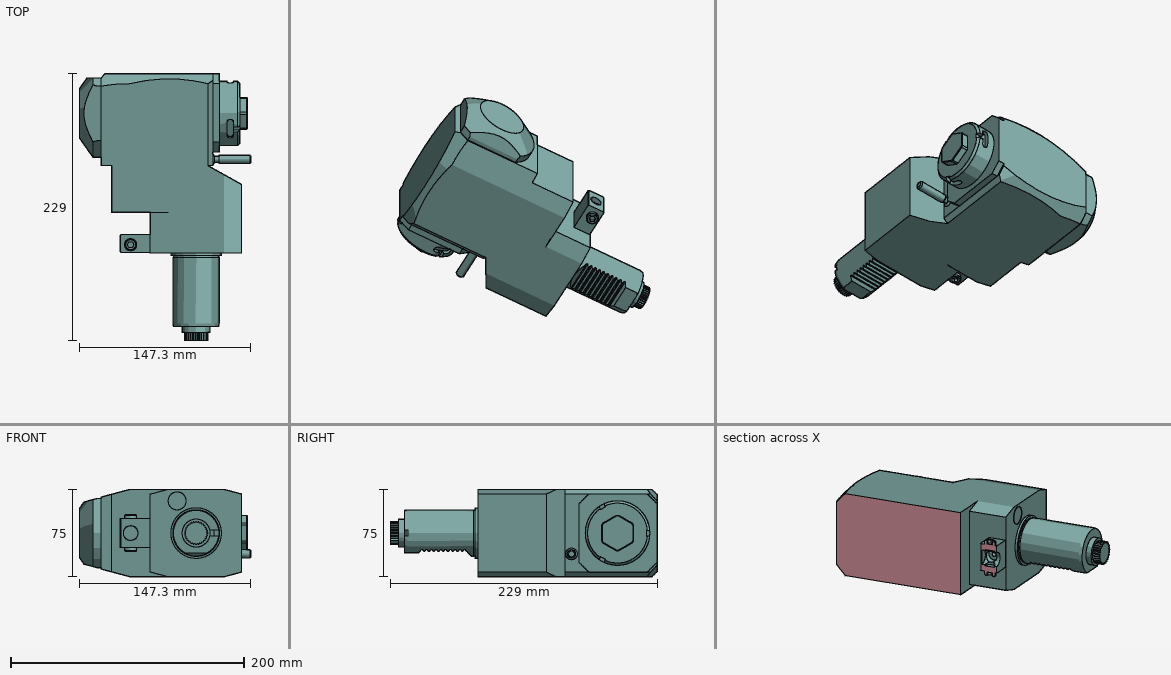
import cadquery as cq
import math


HALF_HEIGHT = 37.5
EDGE_SLOPE = math.tan(math.radians(15))
LEFT_CREST_X = -57.0
LEFT_FACE_X = -81.5
HEAD_RIGHT_CREST_X = 10.3
HEAD_RIGHT_X = 14.3
HEAD_RIGHT_SLOPE = 1.0
HEAD_START_Y = 75.0
HEAD_END_Y = 154.0
HEAD_CORNER_X = 3.2
HEAD_CORNER_Y = 3.8
WAIST_LEFT_X = -72.5
WAIST_START_Y = 35.0
FOOT_LEFT_X = -39.5
FOOT_LEFT_CREST_X = -24.0
FOOT_RIGHT_CREST_X = 24.3
FOOT_RIGHT_X = 39.0
FOOT_RIGHT_END_Y = 59.0

BEVEL = 4.5
BEVEL_OFFSET_Z = 95.0
BEVEL_AXIS_X = (LEFT_CREST_X + HEAD_RIGHT_CREST_X) / 2

SPINDLE_Y = 119.9

CAP_RADIUS = 37.8
CAP_TIP_RADIUS = 21.2
CAP_TIP_X = -100.1
CAP_SHOULDER_X = -88.5
CAP_CREST_X = -84.9
CAP_HALF_HEIGHT = 29.75
CAP_BACK = 30.5

PLATE_X = 20.0
PLATE_SIDE = 67.3
PLATE_CORNER = 8.7
PLATE_CENTRE_Y = HEAD_END_Y - PLATE_SIDE / 2
NUT_RADIUS = 27.7
NUT_END_X = 37.6
NUT_CHAMFER = 2.0
NUT_SLOT_COUNT = 3
NUT_FIRST_SLOT_ANGLE = 90.0
NUT_SLOT_X = 29.3
NUT_SLOT_LENGTH = 18.4
NUT_SLOT_WIDTH = 5.3
NUT_SLOT_DEPTH = 4.0
NUT_NOTCH_WIDTH = 4.8
NUT_NOTCH_DEPTH = 3.0
HEX_ACROSS_FLATS = 27.4
HEX_END_X = 44.0
HEX_CORNER_CHAMFER = 1.15
HEX_END_CHAMFER = 0.6

PIN_Y = 80.4
PIN_Z = -17.9
PIN_RADIUS = 3.65
PIN_START_X = 19.7
PIN_END_X = 47.23
PIN_CHAMFER = 1.1
PIN_BASE_RADIUS = 5.0
PIN_NECK_RADIUS = 2.7
PIN_BASE_LENGTH = 1.5

SHANK_RADIUS = 20.0
SHANK_LENGTH = 63.0
SHANK_CHAMFER_LENGTH = 2.6
SHANK_CHAMFER_DEPTH = 0.5
FLANGE_RADIUS = 21.7
FLANGE_LENGTH = 2.2
RELIEF_RADIUS = 19.6
RELIEF_END = 3.6
BOSS_RADIUS = 12.0
BOSS_END = 68.0
KEYWAY_WIDTH = 5.2
KEYWAY_STEP_X = 15.2
KEYWAY_DEPTH = 3.0
KEYWAY_INNER_DEPTH = 1.5

RACK_START = 5.3
RACK_END = 50.7
RACK_FLAT_Z = -17.0
TOOTH_COUNT = 10
TOOTH_PITCH = 4.08
TOOTH_FIRST_ROOT = 11.2
TOOTH_ROOT_Z = -14.3
TOOTH_CREST_Z = -16.0
TOOTH_ROOT_WIDTH = 1.0

SPLINE_RADIUS = 10.0
SPLINE_ROOT_RADIUS = 9.0
SPLINE_END = 75.0
SPLINE_COUNT = 28

PLUG_X = -16.3
PLUG_Z = 27.6
PLUG_RADIUS = 7.7
PLUG_RECESS = 0.4

BLOCK_LEFT_X = -65.2
BLOCK_START_Y = 0.5
BLOCK_END_Y = 16.0
BLOCK_HALF_HEIGHT = 12.4
BLOCK_CHAMFER = 0.8
BLOCK_BORE_X = -56.2
BLOCK_BORE_RADIUS = 6.3
BLOCK_BORE_DEPTH = 14.0
BLOCK_SIDE_Y = 8.5
BLOCK_SIDE_RADIUS = 5.0
BLOCK_SIDE_DEPTH = 20.0
BLOCK_DRILL_RADIUS = 1.8
BLOCK_CROSS_RADIUS = 4.5
BLOCK_CROSS_HALF_LENGTH = 7.2
SCREW_Y = 7.2
SCREW_RADIUS = 5.2
SCREW_HEIGHT = 3.6
SCREW_CHAMFER = 0.9
SCREW_SOCKET = 5.0
SCREW_SOCKET_DEPTH = 3.0


def slab(left, left_crest, right_crest, right, start_y, end_y, right_slope=EDGE_SLOPE):
    """Block along Y whose left and right margins slope away from flat top and bottom faces."""
    left_z = HALF_HEIGHT - EDGE_SLOPE * (left_crest - left)
    right_z = HALF_HEIGHT - right_slope * (right - right_crest)
    return (
        cq.Workplane("XZ", origin=(0, end_y, 0))
        .moveTo(left, left_z)
        .lineTo(left_crest, HALF_HEIGHT)
        .lineTo(right_crest, HALF_HEIGHT)
        .lineTo(right, right_z)
        .lineTo(right, -right_z)
        .lineTo(right_crest, -HALF_HEIGHT)
        .lineTo(left_crest, -HALF_HEIGHT)
        .lineTo(left, -left_z)
        .close()
        .extrude(end_y - start_y)
    )


def turned(profile, axis, origin=(0, 0, 0)):
    """Solid turned from (distance along axis, radius) points closed along the axis."""
    first, last = profile[0][0], profile[-1][0]
    points = [(first, 0), *profile, (last, 0)]
    if axis == "X":
        return cq.Workplane("XY", origin=origin).polyline(points).close().revolve(360, (0, 0), (1, 0))
    swapped = [(radius, along) for along, radius in points]
    return cq.Workplane("XY", origin=origin).polyline(swapped).close().revolve(360, (0, 0), (0, 1))


def bevel_envelope(side):
    """Cone about a far-off axis parallel to Y; its surface bevels one edge of the head's end."""
    end_radius = BEVEL_OFFSET_Z + HALF_HEIGHT - BEVEL
    start_radius = end_radius + HEAD_END_Y - HEAD_START_Y
    profile = [(HEAD_START_Y, start_radius), (HEAD_END_Y, end_radius)]
    return turned(profile, "Y", (BEVEL_AXIS_X, 0, -side * BEVEL_OFFSET_Z))


def make_head():
    head = slab(
        LEFT_FACE_X,
        LEFT_CREST_X,
        HEAD_RIGHT_CREST_X,
        HEAD_RIGHT_X,
        HEAD_START_Y,
        HEAD_END_Y,
        HEAD_RIGHT_SLOPE,
    )
    corner = (
        cq.Workplane("XY")
        .moveTo(LEFT_FACE_X, HEAD_END_Y)
        .lineTo(LEFT_FACE_X + HEAD_CORNER_X, HEAD_END_Y)
        .lineTo(LEFT_FACE_X, HEAD_END_Y - HEAD_CORNER_Y)
        .close()
        .extrude(HALF_HEIGHT, both=True)
    )
    head = head.cut(corner)
    for side in (1, -1):
        head = head.intersect(bevel_envelope(side))
    return head


def make_lower_housing():
    foot = slab(FOOT_LEFT_X, FOOT_LEFT_CREST_X, FOOT_RIGHT_CREST_X, FOOT_RIGHT_X, 0, HEAD_START_Y)
    waist = slab(WAIST_LEFT_X, LEFT_CREST_X, HEAD_RIGHT_CREST_X, HEAD_RIGHT_X, WAIST_START_Y, HEAD_START_Y)
    shoulder = (
        cq.Workplane("XY")
        .moveTo(HEAD_RIGHT_CREST_X, HEAD_START_Y)
        .lineTo(FOOT_RIGHT_X, FOOT_RIGHT_END_Y)
        .lineTo(FOOT_RIGHT_X, HEAD_START_Y)
        .close()
        .extrude(HALF_HEIGHT, both=True)
    )
    plug = turned([(0, PLUG_RADIUS), (PLUG_RECESS, PLUG_RADIUS)], "Y", (PLUG_X, 0, PLUG_Z))
    return foot.union(waist).cut(shoulder).cut(plug)


def make_cap():
    profile = [(CAP_TIP_X, CAP_TIP_RADIUS), (CAP_SHOULDER_X, CAP_RADIUS), (LEFT_FACE_X, CAP_RADIUS)]
    cone = turned(profile, "X", (0, SPINDLE_Y, 0))
    tip_z = CAP_HALF_HEIGHT - EDGE_SLOPE * (CAP_CREST_X - CAP_TIP_X)
    envelope = (
        cq.Workplane("XZ", origin=(0, SPINDLE_Y + CAP_BACK, 0))
        .moveTo(CAP_TIP_X, tip_z)
        .lineTo(CAP_CREST_X, CAP_HALF_HEIGHT)
        .lineTo(LEFT_FACE_X, CAP_HALF_HEIGHT)
        .lineTo(LEFT_FACE_X, -CAP_HALF_HEIGHT)
        .lineTo(CAP_CREST_X, -CAP_HALF_HEIGHT)
        .lineTo(CAP_TIP_X, -tip_z)
        .close()
        .extrude(CAP_BACK + CAP_RADIUS)
    )
    return cone.intersect(envelope)


def make_plate():
    return (
        cq.Workplane("YZ", origin=(HEAD_RIGHT_X, PLATE_CENTRE_Y, 0))
        .rect(PLATE_SIDE, PLATE_SIDE)
        .extrude(PLATE_X - HEAD_RIGHT_X)
        .edges("|X")
        .chamfer(PLATE_CORNER)
    )


def nut_slot():
    """Wrench slot and end notch, cut from the top of a nut turned about the X axis."""
    floor_z = NUT_RADIUS - NUT_SLOT_DEPTH
    slot = (
        cq.Workplane("XY", origin=(NUT_SLOT_X, 0, floor_z))
        .slot2D(NUT_SLOT_LENGTH, NUT_SLOT_WIDTH, 90)
        .extrude(NUT_SLOT_DEPTH)
    )
    notch = cq.Workplane("XY").box(
        NUT_END_X - NUT_SLOT_X, NUT_NOTCH_WIDTH, NUT_NOTCH_DEPTH, centered=(False, True, False)
    )
    return slot.union(notch.translate((NUT_SLOT_X, 0, NUT_RADIUS - NUT_NOTCH_DEPTH)))


def make_nut():
    profile = [
        (PLATE_X, NUT_RADIUS),
        (NUT_END_X - NUT_CHAMFER, NUT_RADIUS),
        (NUT_END_X, NUT_RADIUS - NUT_CHAMFER),
    ]
    nut = turned(profile, "X")
    for index in range(NUT_SLOT_COUNT):
        angle = NUT_FIRST_SLOT_ANGLE + index * 360 / NUT_SLOT_COUNT
        nut = nut.cut(nut_slot().rotate((0, 0, 0), (1, 0, 0), -angle))
    hexagon = (
        cq.Workplane("YZ", origin=(NUT_END_X, 0, 0))
        .polygon(6, HEX_ACROSS_FLATS / math.cos(math.pi / 6))
        .extrude(HEX_END_X - NUT_END_X)
        .edges("|X")
        .chamfer(HEX_CORNER_CHAMFER)
        .faces(">X")
        .chamfer(HEX_END_CHAMFER)
        .rotate((0, 0, 0), (1, 0, 0), 90)
    )
    return nut.union(hexagon).translate((0, SPINDLE_Y, 0))


def make_pin():
    profile = [
        (HEAD_RIGHT_X, PIN_BASE_RADIUS),
        (HEAD_RIGHT_X + PIN_BASE_LENGTH, PIN_NECK_RADIUS),
        (PIN_START_X, PIN_NECK_RADIUS),
        (PIN_START_X, PIN_RADIUS),
        (PIN_END_X - PIN_CHAMFER, PIN_RADIUS),
        (PIN_END_X, PIN_RADIUS - PIN_CHAMFER),
    ]
    return turned(profile, "X", (0, PIN_Y, PIN_Z))


def rack_cutter():
    """Material removed under the shank: an entry ramp, a row of teeth and a flat to the end."""
    below = -FLANGE_RADIUS
    ramp_run = SHANK_RADIUS + TOOTH_CREST_Z
    outline = cq.Workplane("YZ").moveTo(-RACK_START, below).lineTo(-RACK_START, -SHANK_RADIUS)
    outline = outline.lineTo(-RACK_START - ramp_run, TOOTH_CREST_Z)
    half_root = TOOTH_ROOT_WIDTH / 2
    for index in range(TOOTH_COUNT):
        root = TOOTH_FIRST_ROOT + index * TOOTH_PITCH
        outline = outline.lineTo(-root + half_root, TOOTH_ROOT_Z)
        outline = outline.lineTo(-root - half_root, TOOTH_ROOT_Z)
        if index < TOOTH_COUNT - 1:
            outline = outline.lineTo(-root - TOOTH_PITCH / 2, TOOTH_CREST_Z)
    outline = outline.lineTo(-RACK_END, RACK_FLAT_Z)
    outline = outline.lineTo(-SHANK_LENGTH, RACK_FLAT_Z).lineTo(-SHANK_LENGTH, below).close()
    return outline.extrude(SHANK_RADIUS, both=True)


def make_spline():
    """Drive end with triangular grooves between its teeth."""
    points = []
    for index in range(2 * SPLINE_COUNT):
        radius = SPLINE_RADIUS if index % 2 == 0 else SPLINE_ROOT_RADIUS
        angle = index * math.pi / SPLINE_COUNT
        points.append((radius * math.cos(angle), radius * math.sin(angle)))
    return (
        cq.Workplane("XZ", origin=(0, -BOSS_END, 0)).polyline(points).close().extrude(SPLINE_END - BOSS_END)
    )


def keyway_step(start_x, end_x, depth):
    """One stretch of the radial keyway in the end face of the shank."""
    step = cq.Workplane("XY").box(end_x - start_x, depth, KEYWAY_WIDTH, centered=(False, False, True))
    return step.translate((start_x, -SHANK_LENGTH, 0))


def make_shank():
    profile = [
        (0, FLANGE_RADIUS),
        (-FLANGE_LENGTH, FLANGE_RADIUS),
        (-FLANGE_LENGTH, RELIEF_RADIUS),
        (-RELIEF_END, RELIEF_RADIUS),
        (-RELIEF_END, SHANK_RADIUS),
        (SHANK_CHAMFER_LENGTH - SHANK_LENGTH, SHANK_RADIUS),
        (-SHANK_LENGTH, SHANK_RADIUS - SHANK_CHAMFER_DEPTH),
        (-SHANK_LENGTH, BOSS_RADIUS),
        (-BOSS_END, BOSS_RADIUS),
    ]
    shank = turned(profile, "Y").cut(rack_cutter())
    shank = shank.cut(keyway_step(BOSS_RADIUS, KEYWAY_STEP_X, KEYWAY_INNER_DEPTH))
    shank = shank.cut(keyway_step(KEYWAY_STEP_X, SHANK_RADIUS, KEYWAY_DEPTH))
    return shank.union(make_spline())


def make_screw():
    """Socket screw head standing on the top face of the coolant block."""
    return (
        cq.Workplane("XY", origin=(BLOCK_BORE_X, SCREW_Y, BLOCK_HALF_HEIGHT))
        .circle(SCREW_RADIUS)
        .extrude(SCREW_HEIGHT)
        .faces(">Z")
        .chamfer(SCREW_CHAMFER)
        .faces(">Z")
        .workplane()
        .polygon(6, SCREW_SOCKET / math.cos(math.pi / 6))
        .cutBlind(-SCREW_SOCKET_DEPTH)
    )


def make_block():
    block = (
        cq.Workplane("XY")
        .box(
            FOOT_LEFT_X - BLOCK_LEFT_X,
            BLOCK_END_Y - BLOCK_START_Y,
            2 * BLOCK_HALF_HEIGHT,
            centered=(False, False, True),
        )
        .translate((BLOCK_LEFT_X, BLOCK_START_Y, 0))
        .edges("|Z and <X")
        .chamfer(BLOCK_CHAMFER)
    )
    bore_end = BLOCK_START_Y + BLOCK_BORE_DEPTH
    bore = turned(
        [(BLOCK_START_Y, BLOCK_BORE_RADIUS), (bore_end, BLOCK_BORE_RADIUS)], "Y", (BLOCK_BORE_X, 0, 0)
    )
    step_x = BLOCK_LEFT_X + BLOCK_SIDE_DEPTH
    side_hole = turned(
        [
            (BLOCK_LEFT_X, BLOCK_SIDE_RADIUS),
            (step_x, BLOCK_SIDE_RADIUS),
            (step_x, BLOCK_DRILL_RADIUS),
            (FOOT_LEFT_X, BLOCK_DRILL_RADIUS),
        ],
        "X",
        (0, BLOCK_SIDE_Y, 0),
    )
    cross_hole = (
        cq.Workplane("XY", origin=(BLOCK_BORE_X, SCREW_Y, 0))
        .circle(BLOCK_CROSS_RADIUS)
        .extrude(BLOCK_CROSS_HALF_LENGTH, both=True)
    )
    screw = make_screw()
    return block.cut(bore).cut(side_hole).cut(cross_hole).union(screw).union(screw.mirror("XY"))


result = make_head()
for piece in (
    make_lower_housing(),
    make_cap(),
    make_plate(),
    make_nut(),
    make_pin(),
    make_shank(),
    make_block(),
):
    result = result.union(piece)